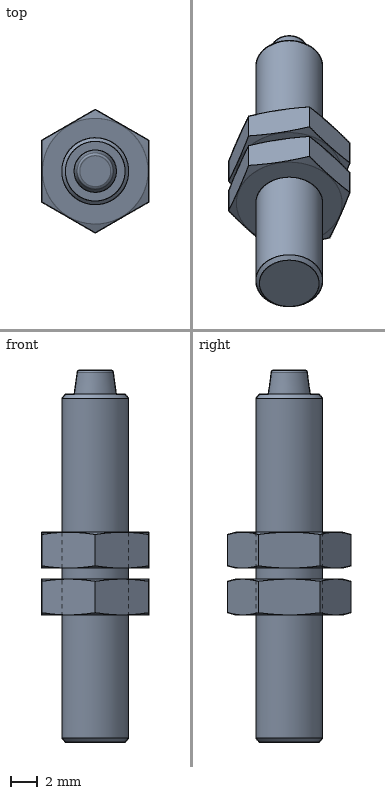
import cadquery as cq
import math

ROD_DIAMETER = 5.0
ROD_LENGTH = 26.0
ROD_END_DIAMETER = 4.46
ROD_CHAMFER_HEIGHT = 0.31
TIP_BASE_DIAMETER = 3.16
TIP_END_DIAMETER = 2.66
TIP_HEIGHT = 1.8
TIP_FILLET_RADIUS = 0.2

NUT_ACROSS_FLATS = 8.0
NUT_HEIGHT = 2.7
NUT_FACE_DIAMETER = 7.9
NUT_CHAMFER_ANGLE = 15.0
NUT_GAP = 0.8
LOWER_NUT_Z = 9.5
NUT_COUNT = 2

NUT_CORNER_RADIUS = NUT_ACROSS_FLATS / math.sqrt(3)


def make_plunger():
    """Revolve the half outline of the rod and its tip about Z, then round the tip's end."""
    rod_radius = ROD_DIAMETER / 2
    rod_end_radius = ROD_END_DIAMETER / 2
    overall_length = ROD_LENGTH + TIP_HEIGHT
    outline = [
        (0, 0),
        (rod_end_radius, 0),
        (rod_radius, ROD_CHAMFER_HEIGHT),
        (rod_radius, ROD_LENGTH - ROD_CHAMFER_HEIGHT),
        (rod_end_radius, ROD_LENGTH),
        (TIP_BASE_DIAMETER / 2, ROD_LENGTH),
        (TIP_END_DIAMETER / 2, overall_length),
        (0, overall_length),
    ]
    plunger = cq.Workplane("XZ").polyline(outline).close().revolve(360, (0, 0), (0, 1))
    return plunger.faces(">Z").edges().fillet(TIP_FILLET_RADIUS)


def make_corner_envelope():
    """Turned blank whose conical ends chamfer the corners of a nut."""
    face_radius = NUT_FACE_DIAMETER / 2
    chamfer_height = (NUT_CORNER_RADIUS - face_radius) * math.tan(math.radians(NUT_CHAMFER_ANGLE))
    outline = [
        (0, 0),
        (face_radius, 0),
        (NUT_CORNER_RADIUS, chamfer_height),
        (NUT_CORNER_RADIUS, NUT_HEIGHT - chamfer_height),
        (face_radius, NUT_HEIGHT),
        (0, NUT_HEIGHT),
    ]
    return cq.Workplane("XZ").polyline(outline).close().revolve(360, (0, 0), (0, 1))


def make_nut(base_z):
    """Hexagonal nut, chamfered on both faces and bored to fit the rod."""
    hexagon = (
        cq.Workplane("XY")
        .polygon(6, 2 * NUT_CORNER_RADIUS)
        .extrude(NUT_HEIGHT)
        .rotate((0, 0, 0), (0, 0, 1), 30)
    )
    bore = cq.Workplane("XY").circle(ROD_DIAMETER / 2).extrude(NUT_HEIGHT)
    return hexagon.intersect(make_corner_envelope()).cut(bore).translate((0, 0, base_z))


plunger = make_plunger()
nuts = [make_nut(LOWER_NUT_Z + i * (NUT_HEIGHT + NUT_GAP)) for i in range(NUT_COUNT)]

result = cq.Compound.makeCompound([plunger.val(), *[nut.val() for nut in nuts]])